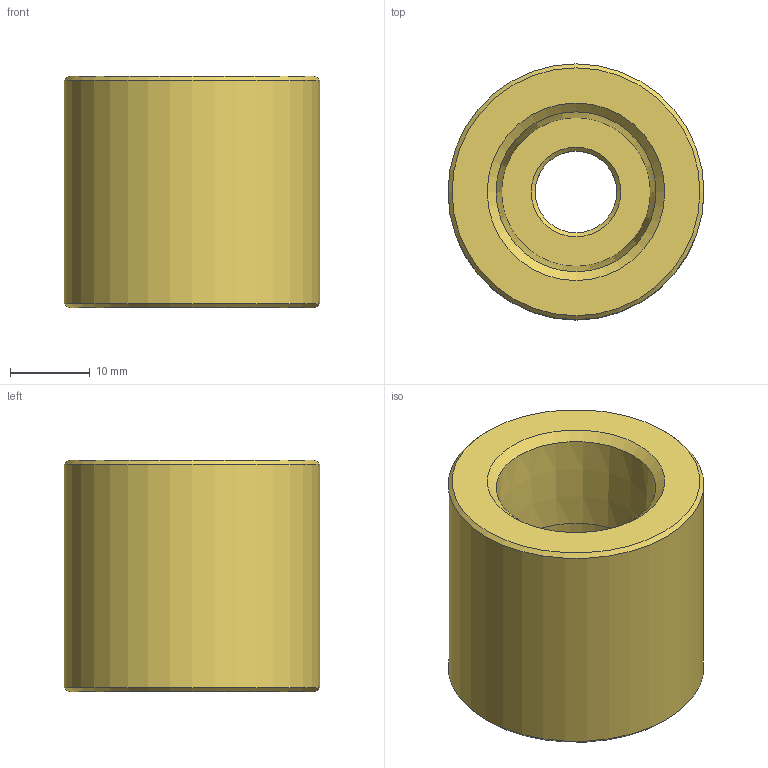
import cadquery as cq

outer_diameter = 32.0
height = 29.0
edge_chamfer = 0.5

socket_mouth_diameter = 20.0
straight_bore_diameter = 18.6
taper_end_depth = 13.0
socket_depth = 15.0
lead_in_diameter = 22.2
lead_in_depth = 1.0

hole_diameter = 10.2
hole_chamfer = 0.5

socket_floor_z = height - socket_depth


def half_profile():
    """Closed outline of the wall in the XZ plane, from the hole outwards."""
    outer_radius = outer_diameter / 2
    straight_bore_radius = straight_bore_diameter / 2
    hole_radius = hole_diameter / 2
    return (
        cq.Workplane("XZ")
        .moveTo(hole_radius, 0)
        .lineTo(outer_radius - edge_chamfer, 0)
        .lineTo(outer_radius, edge_chamfer)
        .lineTo(outer_radius, height - edge_chamfer)
        .lineTo(outer_radius - edge_chamfer, height)
        .lineTo(lead_in_diameter / 2, height)
        .lineTo(socket_mouth_diameter / 2, height - lead_in_depth)
        .lineTo(straight_bore_radius, height - taper_end_depth)
        .lineTo(straight_bore_radius, socket_floor_z)
        .lineTo(hole_radius + hole_chamfer, socket_floor_z)
        .lineTo(hole_radius, socket_floor_z - hole_chamfer)
        .close()
    )


result = half_profile().revolve(360, (0, 0, 0), (0, 1, 0))